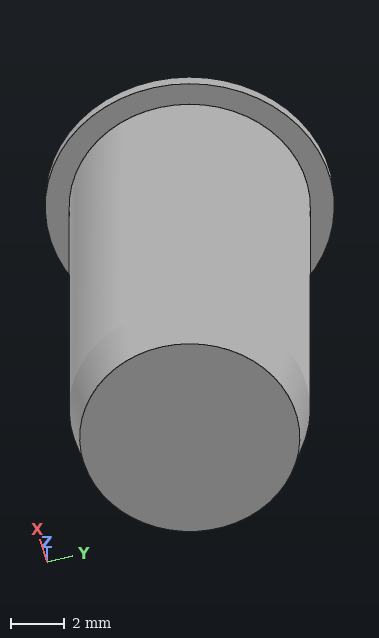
import cadquery as cq

total_height = 17.56
head_diameter = 10.8
shank_diameter = 9.0
tip_diameter = 8.22

tip_height = 2.0
rim_thickness = 0.5
dome_rise = 0.55

head_radius = head_diameter / 2
shank_radius = shank_diameter / 2
tip_radius = tip_diameter / 2
rim_top = total_height - dome_rise
rim_bottom = rim_top - rim_thickness

dome_radius = (head_radius**2 + dome_rise**2) / (2 * dome_rise)
dome_centre = total_height - dome_radius
dome_mid_radius = head_radius / 2
dome_mid_height = dome_centre + (dome_radius**2 - dome_mid_radius**2) ** 0.5

profile = (
    cq.Workplane("XZ")
    .lineTo(tip_radius, 0)
    .lineTo(shank_radius, tip_height)
    .lineTo(shank_radius, rim_bottom)
    .lineTo(head_radius, rim_bottom)
    .lineTo(head_radius, rim_top)
    .threePointArc((dome_mid_radius, dome_mid_height), (0, total_height))
    .close()
)

result = profile.revolve(360, (0, 0, 0), (0, 1, 0))